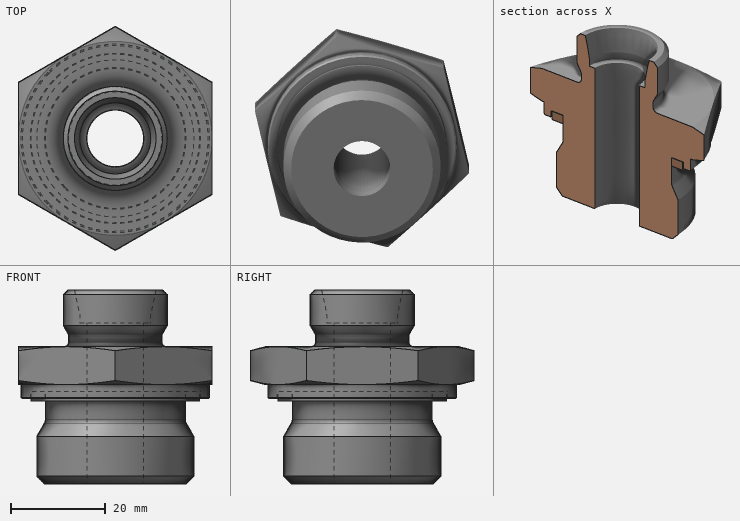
import cadquery as cq
import math


STUD_THREAD_TOP = 10.0
FLANGE_BOTTOM = 18.0
HEX_BOTTOM = 21.0
HEX_TOP = 29.0
TUBE_THREAD_BOTTOM = 33.5
TOTAL_HEIGHT = 41.0

STUD_RADIUS = 33.25 / 2
STUD_CHAMFER = 1.65
STUD_NECK_RADIUS = 29.6 / 2
STUD_NECK_FILLET = 1.5

FLANGE_RADIUS = 39.9 / 2
FLANGE_CHAMFER = 0.3
HEX_ACROSS_FLATS = 41.0
HEX_SIDES = 6
HEX_CHAMFER_ANGLE = math.radians(15)

TUBE_END_RADIUS = 22.0 / 2
TUBE_END_CHAMFER = 1.0
TUBE_NECK_RADIUS = 19.7 / 2
TUBE_NECK_FILLET = 0.8
TUBE_BASE_FILLET = 1.0

RUNOUT_ANGLE = math.radians(30)

BORE_RADIUS = 12.0 / 2
SOCKET_RADIUS = 15.0 / 2
SOCKET_DEPTH = 7.0
MOUTH_RADIUS = 17.25 / 2
MOUTH_HALF_ANGLE = math.radians(12)

SEAL_INNER_RADIUS = 29.7 / 2
SEAL_OUTER_RADIUS = 35.7 / 2
SEAL_THICKNESS = 2.0
SEAL_PROTRUSION = 0.5
RECESS_RADIUS = 36.0 / 2
RECESS_DEPTH = SEAL_THICKNESS - SEAL_PROTRUSION
RECESS_TOP = FLANGE_BOTTOM + RECESS_DEPTH


def fillet_reach(fillet_radius):
    """Distance from the neck/run-out corner to either end of its fillet."""
    return fillet_radius * math.tan(RUNOUT_ANGLE / 2)


def make_stud():
    """Stud with its thread, run-out cone and neck, up to the roof of the seal recess."""
    cone_height = (STUD_RADIUS - STUD_NECK_RADIUS) / math.tan(RUNOUT_ANGLE)
    corner = STUD_THREAD_TOP + cone_height
    reach = fillet_reach(STUD_NECK_FILLET)
    return (
        cq.Workplane("XZ")
        .lineTo(STUD_RADIUS - STUD_CHAMFER, 0)
        .lineTo(STUD_RADIUS, STUD_CHAMFER)
        .lineTo(STUD_RADIUS, STUD_THREAD_TOP)
        .lineTo(
            STUD_NECK_RADIUS + reach * math.sin(RUNOUT_ANGLE),
            corner - reach * math.cos(RUNOUT_ANGLE),
        )
        .tangentArcPoint((STUD_NECK_RADIUS, corner + reach), relative=False)
        .lineTo(STUD_NECK_RADIUS, RECESS_TOP)
        .lineTo(0, RECESS_TOP)
        .close()
        .revolve(360, (0, 0, 0), (0, 1, 0))
    )


def make_flange():
    """Round flange under the hexagon, hollowed from below to take the seal."""
    flange = (
        cq.Workplane("XY")
        .workplane(offset=FLANGE_BOTTOM)
        .circle(FLANGE_RADIUS)
        .extrude(HEX_BOTTOM - FLANGE_BOTTOM)
        .faces("<Z")
        .chamfer(FLANGE_CHAMFER)
    )
    recess = (
        cq.Workplane("XY")
        .workplane(offset=FLANGE_BOTTOM)
        .circle(RECESS_RADIUS)
        .extrude(RECESS_DEPTH)
    )
    return flange.cut(recess)


def make_hexagon():
    """Hexagon with two corners on Y, its corners turned down to cones at both ends."""
    flat_radius = HEX_ACROSS_FLATS / 2
    corner_radius = flat_radius / math.cos(math.pi / HEX_SIDES)
    corner_drop = (corner_radius - flat_radius) * math.tan(HEX_CHAMFER_ANGLE)
    prism = (
        cq.Workplane("XY")
        .workplane(offset=HEX_BOTTOM)
        .polygon(HEX_SIDES, 2 * corner_radius)
        .extrude(HEX_TOP - HEX_BOTTOM)
        .rotate((0, 0, 0), (0, 0, 1), 180 / HEX_SIDES)
    )
    turned_blank = (
        cq.Workplane("XZ")
        .moveTo(0, HEX_BOTTOM)
        .lineTo(flat_radius, HEX_BOTTOM)
        .lineTo(corner_radius, HEX_BOTTOM + corner_drop)
        .lineTo(corner_radius, HEX_TOP - corner_drop)
        .lineTo(flat_radius, HEX_TOP)
        .lineTo(0, HEX_TOP)
        .close()
        .revolve(360, (0, 0, 0), (0, 1, 0))
    )
    return prism.intersect(turned_blank)


def make_tube_end():
    """Tube end with its filleted foot, neck, run-out cone and thread."""
    cone_height = (TUBE_END_RADIUS - TUBE_NECK_RADIUS) / math.tan(RUNOUT_ANGLE)
    corner = TUBE_THREAD_BOTTOM - cone_height
    reach = fillet_reach(TUBE_NECK_FILLET)
    return (
        cq.Workplane("XZ")
        .moveTo(0, TOTAL_HEIGHT)
        .lineTo(TUBE_END_RADIUS - TUBE_END_CHAMFER, TOTAL_HEIGHT)
        .lineTo(TUBE_END_RADIUS, TOTAL_HEIGHT - TUBE_END_CHAMFER)
        .lineTo(TUBE_END_RADIUS, TUBE_THREAD_BOTTOM)
        .lineTo(
            TUBE_NECK_RADIUS + reach * math.sin(RUNOUT_ANGLE),
            corner + reach * math.cos(RUNOUT_ANGLE),
        )
        .tangentArcPoint((TUBE_NECK_RADIUS, corner - reach), relative=False)
        .lineTo(TUBE_NECK_RADIUS, HEX_TOP + TUBE_BASE_FILLET)
        .tangentArcPoint((TUBE_NECK_RADIUS + TUBE_BASE_FILLET, HEX_TOP), relative=False)
        .lineTo(0, HEX_TOP)
        .close()
        .revolve(360, (0, 0, 0), (0, 1, 0))
    )


def make_bore():
    """Through bore, tube socket and conical mouth as one tool to cut away."""
    mouth_depth = (MOUTH_RADIUS - SOCKET_RADIUS) / math.tan(MOUTH_HALF_ANGLE)
    socket_floor = TOTAL_HEIGHT - SOCKET_DEPTH
    return (
        cq.Workplane("XZ")
        .lineTo(BORE_RADIUS, 0)
        .lineTo(BORE_RADIUS, socket_floor)
        .lineTo(SOCKET_RADIUS, socket_floor)
        .lineTo(SOCKET_RADIUS, TOTAL_HEIGHT - mouth_depth)
        .lineTo(MOUTH_RADIUS, TOTAL_HEIGHT)
        .lineTo(0, TOTAL_HEIGHT)
        .close()
        .revolve(360, (0, 0, 0), (0, 1, 0))
    )


def make_fitting():
    """The complete fitting body."""
    solid_body = make_flange().union(make_stud()).union(make_hexagon()).union(make_tube_end())
    return solid_body.cut(make_bore())


def make_seal():
    """Flat sealing ring, resting on the recess roof and standing proud of the flange."""
    return (
        cq.Workplane("XY")
        .workplane(offset=FLANGE_BOTTOM - SEAL_PROTRUSION)
        .circle(SEAL_OUTER_RADIUS)
        .circle(SEAL_INNER_RADIUS)
        .extrude(SEAL_THICKNESS)
    )


fitting = make_fitting()
seal = make_seal()
result = cq.Compound.makeCompound([fitting.val(), seal.val()])